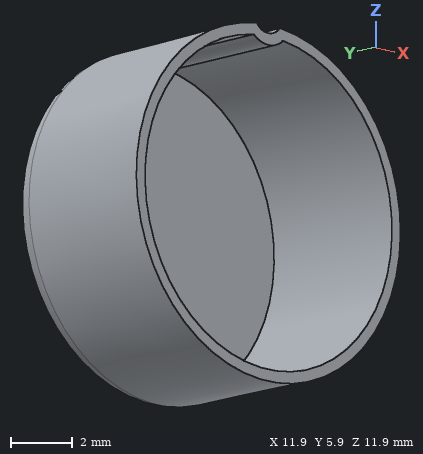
import cadquery as cq
import math

outer_radius = 5.94
height = 5.9
wall = 0.39
floor_thickness = 0.39
draft_angle = math.radians(1)
edge_fillet = 0.8

groove_radius = 0.63
groove_depth = 0.29

draft = height * math.tan(draft_angle)
groove_center_z = outer_radius - groove_depth + groove_radius


def cone_along_y(start_radius, end_radius, length, center_z=0):
    """Solid of revolution from the open end (Y = 0), with its axis parallel to Y."""
    return cq.Workplane(
        cq.Solid.makeCone(
            start_radius, end_radius, length, cq.Vector(0, 0, center_z), cq.Vector(0, 1, 0)
        )
    )


def cylinder_along_y(radius, length, center_z=0):
    """Cylinder starting at the open end (Y = 0), with its axis parallel to Y."""
    return cq.Workplane("XZ").center(0, center_z).circle(radius).extrude(-length)


def make_body():
    """Drafted outer shell with a rounded closed end and the indexing groove."""
    body = cone_along_y(outer_radius, outer_radius - draft, height)
    body = body.faces(">Y").edges().fillet(edge_fillet)
    groove = cone_along_y(groove_radius, groove_radius + draft, height, groove_center_z)
    return body.cut(groove)


def make_cavity():
    """Straight cavity whose wall bulges inwards beneath the groove."""
    depth = height - floor_thickness
    bore_radius = outer_radius - wall
    bulge_radius = groove_radius + wall
    bore = cylinder_along_y(bore_radius, depth)
    bulge = cylinder_along_y(bulge_radius, depth, groove_center_z)
    return bore.cut(bulge)


result = make_body().cut(make_cavity())